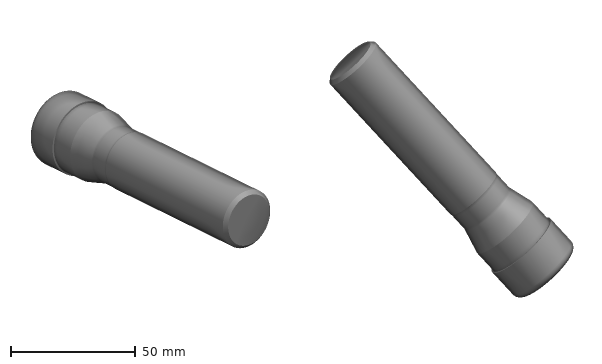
import cadquery as cq
import math

total_length = 120.0
cap_length = 15.6
shoulder_end = 25.8
neck_start = 37.0
neck_end = 43.9

cap_radius = 16.0
shoulder_radius = 30.4 / 2
barrel_radius = 25.0 / 2
neck_radius = 24.6 / 2

rim_radius = 3.0
face_radius = 10.5
flank_radius = 3.0
chamfer_size = 1.5

rim_center_radius = cap_radius - rim_radius
face_offset = rim_center_radius - face_radius
face_depth = rim_radius - math.sqrt(rim_radius**2 - face_offset**2)

flank_rise = barrel_radius - neck_radius
flank_length = math.sqrt(flank_radius**2 - (flank_radius - flank_rise)**2)
taper_end = neck_start - flank_length
barrel_start = neck_end + flank_length


def revolve_about_x(profile):
    """Turn a closed half profile into a solid of revolution about the X axis."""
    return profile.revolve(360, (0, 0, 0), (1, 0, 0))


def make_cap():
    """Cylindrical cap with a rounded rim around a recessed flat face."""
    profile = (
        cq.Workplane("XY")
        .moveTo(face_depth, 0)
        .lineTo(face_depth, face_radius)
        .threePointArc((0, rim_center_radius), (rim_radius, cap_radius))
        .lineTo(cap_length, cap_radius)
        .lineTo(cap_length, 0)
        .close()
    )
    return revolve_about_x(profile)


def make_handle():
    """Handle with a shoulder, a taper, a shallow neck and a chamfered barrel."""
    profile = (
        cq.Workplane("XY")
        .moveTo(cap_length, 0)
        .lineTo(cap_length, shoulder_radius)
        .lineTo(shoulder_end, shoulder_radius)
        .lineTo(taper_end, barrel_radius)
        .radiusArc((neck_start, neck_radius), -flank_radius)
        .lineTo(neck_end, neck_radius)
        .radiusArc((barrel_start, barrel_radius), -flank_radius)
        .lineTo(total_length - chamfer_size, barrel_radius)
        .lineTo(total_length, barrel_radius - chamfer_size)
        .lineTo(total_length, 0)
        .close()
    )
    return revolve_about_x(profile)


cap = make_cap()
handle = make_handle()
result = cq.Compound.makeCompound([cap.val(), handle.val()])